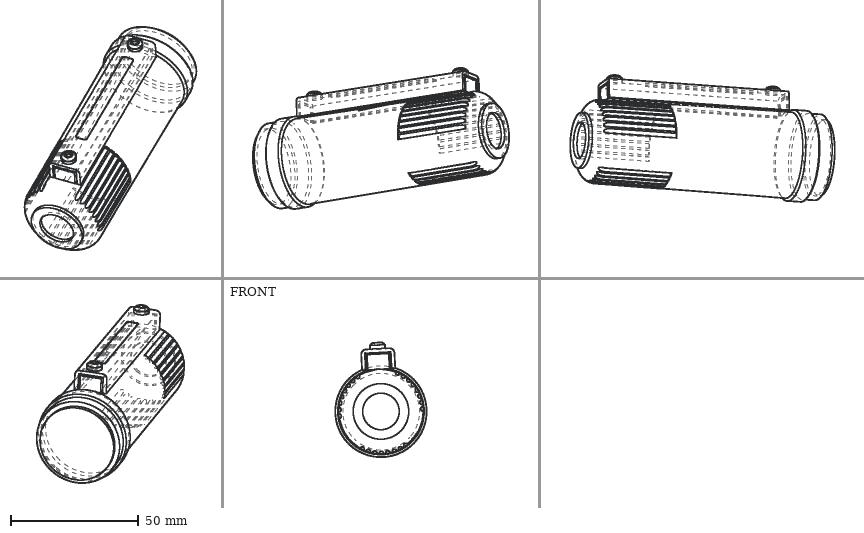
import cadquery as cq
import math

LENGTH = 101.0

NOSE_Y = 1.5
CONE_Y = 2.5
SHOULDER_Y = 7.7
GRIP_END_Y = 85.4
COLLAR_CHAMFER = 0.9
COLLAR_Y = 87.9
COLLAR_LENGTH = 5.5
COLLAR_BACK_BEVEL = 0.7
END_STEP_LENGTH = 1.8

NOSE_RADIUS = 10.9
CONE_RADIUS = 13.2
GRIP_RADIUS = 16.6
NECK_RADIUS = 17.0
COLLAR_RADIUS = 18.0
END_STEP_RADIUS = 15.0
SHOULDER_DROP = GRIP_RADIUS - CONE_RADIUS
SHOULDER_LENGTH = SHOULDER_Y - CONE_Y

NOSE_RECESS_RADIUS = 7.2
NOSE_RECESS_DEPTH = 1.5

FLUTE_RADIUS = 0.9
FLUTE_BOTTOM_RADIUS = 15.7
FLUTE_END_Y = 34.6
FLUTES_PER_GROUP = 8
FLUTE_PITCH_ANGLE = 9.0
FLUTE_GROUPS = 3
FIRST_GROUP_ANGLE = 35.0

RAIL_TILT = 3.1
RAIL_START_Y = 10.5
RAIL_LENGTH = GRIP_END_Y - RAIL_START_Y
RAIL_MID_Y = RAIL_START_Y + RAIL_LENGTH / 2
RAIL_BOTTOM = GRIP_RADIUS
CHANNEL_HEIGHT = 8.1
CHANNEL_WIDTH = 13.1
CHANNEL_WALL = 1.5
CHANNEL_CORNER_RADIUS = 2.0
CHANNEL_TOP = RAIL_BOTTOM + CHANNEL_HEIGHT
RAIL_CLEARANCE = 0.2
RAIL_WIDTH = CHANNEL_WIDTH - 2 * CHANNEL_WALL - 2 * RAIL_CLEARANCE
RAIL_HEIGHT = CHANNEL_HEIGHT - CHANNEL_WALL
RAIL_CHAMFER = 0.6

LABEL_LENGTH = 47.3
LABEL_WIDTH = 4.6
LABEL_CORNER_RADIUS = 0.8
LABEL_DEPTH = 0.2
LABEL_MID_Y = LENGTH / 2

SCREW_INSET = 4.5
SCREW_RADIUS = 3.0
SCREW_SIDE_HEIGHT = 1.4
SCREW_HEIGHT = 2.4
SCREW_DOME_RADIUS = 2.8
SCREW_FLAT_RADIUS = 1.7
SCREW_DOME_MID_RADIUS = 2.4
SCREW_DOME_MID_HEIGHT = 2.0
SOCKET_CORNER_DIAMETER = 2.7
SOCKET_DEPTH = 1.0


def tilt(workplane):
    """Turn a shape from upright to the lean of the rail."""
    return workplane.rotate((0, 0, 0), (0, 1, 0), -RAIL_TILT)


def make_barrel_blank():
    """Turned shape with the nose, rounded shoulder, tapered grip, collar and end step."""
    arc_radius = (SHOULDER_LENGTH**2 + SHOULDER_DROP**2) / (2 * SHOULDER_DROP)
    half_angle = math.asin(SHOULDER_LENGTH / arc_radius) / 2
    arc_mid = (
        GRIP_RADIUS - arc_radius * (1 - math.cos(half_angle)),
        SHOULDER_Y - arc_radius * math.sin(half_angle),
    )
    collar_back_y = COLLAR_Y + COLLAR_LENGTH
    bevel_end_y = collar_back_y + COLLAR_BACK_BEVEL
    end_step_y = LENGTH - END_STEP_LENGTH
    profile = (
        cq.Workplane("XY")
        .moveTo(0, 0)
        .lineTo(NOSE_RADIUS, 0)
        .lineTo(NOSE_RADIUS, NOSE_Y)
        .lineTo(CONE_RADIUS, CONE_Y)
        .threePointArc(arc_mid, (GRIP_RADIUS, SHOULDER_Y))
        .lineTo(NECK_RADIUS, GRIP_END_Y)
        .lineTo(NECK_RADIUS, COLLAR_Y - COLLAR_CHAMFER)
        .lineTo(COLLAR_RADIUS, COLLAR_Y)
        .lineTo(COLLAR_RADIUS, collar_back_y)
        .lineTo(NECK_RADIUS, bevel_end_y)
        .lineTo(NECK_RADIUS, end_step_y)
        .lineTo(END_STEP_RADIUS, end_step_y)
        .lineTo(END_STEP_RADIUS, LENGTH)
        .lineTo(0, LENGTH)
        .close()
    )
    return profile.revolve(360, (0, 0, 0), (0, 1, 0))


def make_nose_recess():
    return cq.Workplane("XZ").circle(NOSE_RECESS_RADIUS).extrude(-NOSE_RECESS_DEPTH)


def make_flutes():
    """Round cutters for every flute, each running from the nose plane to FLUTE_END_Y."""
    centre_radius = FLUTE_BOTTOM_RADIUS + FLUTE_RADIUS
    centres = []
    for group in range(FLUTE_GROUPS):
        group_angle = FIRST_GROUP_ANGLE + group * 360 / FLUTE_GROUPS
        for index in range(FLUTES_PER_GROUP):
            offset = (index - (FLUTES_PER_GROUP - 1) / 2) * FLUTE_PITCH_ANGLE
            angle = math.radians(group_angle + offset)
            centres.append((centre_radius * math.cos(angle), centre_radius * math.sin(angle)))
    return cq.Workplane("XZ").pushPoints(centres).circle(FLUTE_RADIUS).extrude(-FLUTE_END_Y)


def make_rail():
    """Solid bar on the barrel that fills the channel, with bevelled ends."""
    bar = cq.Workplane("XY").box(RAIL_WIDTH, RAIL_LENGTH, RAIL_HEIGHT, centered=(True, True, False))
    bar = bar.edges("(|Z and (<Y or >Y)) or (|X and >Z)").chamfer(RAIL_CHAMFER)
    return tilt(bar.translate((0, RAIL_MID_Y, RAIL_BOTTOM)))


def make_barrel():
    blank = make_barrel_blank().cut(make_nose_recess()).cut(make_flutes())
    return blank.union(make_rail())


def make_screw_head():
    """Domed head with a hexagonal socket, standing on z = 0."""
    head = (
        cq.Workplane("XZ")
        .moveTo(0, 0)
        .lineTo(SCREW_RADIUS, 0)
        .lineTo(SCREW_RADIUS, SCREW_SIDE_HEIGHT)
        .lineTo(SCREW_DOME_RADIUS, SCREW_SIDE_HEIGHT)
        .threePointArc(
            (SCREW_DOME_MID_RADIUS, SCREW_DOME_MID_HEIGHT), (SCREW_FLAT_RADIUS, SCREW_HEIGHT)
        )
        .lineTo(0, SCREW_HEIGHT)
        .close()
        .revolve(360, (0, 0, 0), (0, 1, 0))
    )
    socket = (
        cq.Workplane("XY", origin=(0, 0, SCREW_HEIGHT - SOCKET_DEPTH))
        .polygon(6, SOCKET_CORNER_DIAMETER)
        .extrude(SOCKET_DEPTH)
        .rotate((0, 0, 0), (0, 0, 1), 90)
    )
    return head.cut(socket)


def make_channel():
    """Downward-open channel over the rail, with its label recess and screw heads."""
    shell = (
        cq.Workplane("XY")
        .box(CHANNEL_WIDTH, RAIL_LENGTH, CHANNEL_HEIGHT, centered=(True, True, False))
        .edges("|Y and >Z")
        .fillet(CHANNEL_CORNER_RADIUS)
    )
    inside = cq.Workplane("XY").box(
        CHANNEL_WIDTH - 2 * CHANNEL_WALL, RAIL_LENGTH, RAIL_HEIGHT, centered=(True, True, False)
    )
    channel = shell.cut(inside).translate((0, RAIL_MID_Y, RAIL_BOTTOM))
    label = (
        cq.Workplane("XY")
        .box(LABEL_WIDTH, LABEL_LENGTH, LABEL_DEPTH, centered=(True, True, False))
        .edges("|Z")
        .fillet(LABEL_CORNER_RADIUS)
        .translate((0, LABEL_MID_Y, CHANNEL_TOP - LABEL_DEPTH))
    )
    channel = channel.cut(label)
    for screw_y in (RAIL_START_Y + SCREW_INSET, GRIP_END_Y - SCREW_INSET):
        channel = channel.union(make_screw_head().translate((0, screw_y, CHANNEL_TOP)))
    return tilt(channel)


barrel = make_barrel()
channel = make_channel()
result = cq.Compound.makeCompound([barrel.val(), channel.val()])